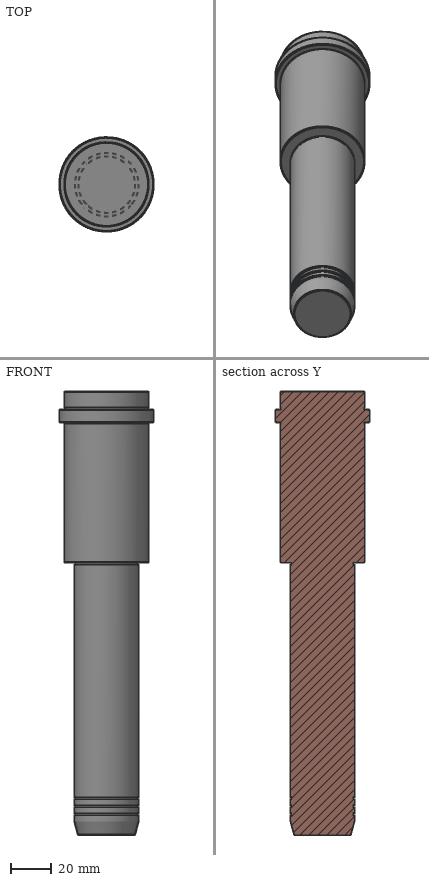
import math

import cadquery as cq

total_length = 220.0

head_diameter = 42.0
head_length = 85.0
edge_chamfer = 0.5

flange_diameter = 47.0
flange_thickness = 6.5
flange_top_offset = 9.0

upper_relief_width = 1.0
lower_relief_width = 0.5
head_relief_depth = 0.25

shank_diameter = 32.0
shank_relief_width = 1.0
shank_relief_depth = 0.5

tip_length = 7.0
tip_half_angle = 15.0

groove_count = 3
groove_pitch = 4.0
groove_width = 1.0
groove_depth = 0.5
groove_clearance = 3.0

shank_length = total_length - head_length
flange_top_z = total_length - flange_top_offset
flange_bottom_z = flange_top_z - flange_thickness


def cylinder(diameter, bottom_z, length):
    """Solid cylinder on the Z axis."""
    return cq.Workplane("XY").workplane(offset=bottom_z).circle(diameter / 2).extrude(length)


def chamfered_cylinder(diameter, bottom_z, length):
    """Solid cylinder on the Z axis with both end edges chamfered."""
    return cylinder(diameter, bottom_z, length).faces("<Z or >Z").chamfer(edge_chamfer)


def cut_groove(body, outer_diameter, depth, bottom_z, width):
    """Cut a square ring groove into a cylindrical body."""
    core_diameter = outer_diameter - 2 * depth
    ring = cylinder(outer_diameter, bottom_z, width).cut(cylinder(core_diameter, bottom_z, width))
    return body.cut(ring)


def make_shank():
    """Shank with its tapered tip, ring grooves and the undercut below the head."""
    shank_radius = shank_diameter / 2
    taper_slope = math.tan(math.radians(tip_half_angle))
    taper_end_radius = shank_radius - (tip_length - edge_chamfer) * taper_slope
    shank = (
        cq.Workplane("XZ")
        .lineTo(taper_end_radius - edge_chamfer, 0)
        .lineTo(taper_end_radius, edge_chamfer)
        .lineTo(shank_radius, tip_length)
        .lineTo(shank_radius, shank_length)
        .lineTo(0, shank_length)
        .close()
        .revolve(360, (0, 0), (0, 1))
    )
    for index in range(groove_count):
        groove_z = tip_length + groove_clearance + index * groove_pitch
        shank = cut_groove(shank, shank_diameter, groove_depth, groove_z, groove_width)
    relief_z = shank_length - shank_relief_width
    return cut_groove(shank, shank_diameter, shank_relief_depth, relief_z, shank_relief_width)


def make_head():
    """Head with chamfered ends and a relief groove on each side of the flange."""
    head = chamfered_cylinder(head_diameter, shank_length, head_length)
    head = cut_groove(head, head_diameter, head_relief_depth, flange_top_z, upper_relief_width)
    lower_relief_z = flange_bottom_z - lower_relief_width
    return cut_groove(head, head_diameter, head_relief_depth, lower_relief_z, lower_relief_width)


def make_flange():
    """Flange disc with both rims chamfered."""
    return chamfered_cylinder(flange_diameter, flange_bottom_z, flange_thickness)


result = make_shank().union(make_head()).union(make_flange())